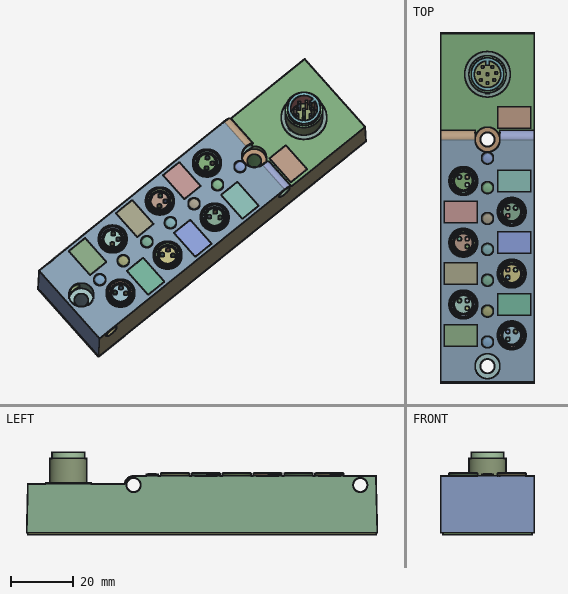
import cadquery as cq
import math

WIDTH = 30.0
LENGTH = 112.6
TOP_Z = 18.9
DECK_Z = 16.3
END_DRAFT = 0.5
BASE_HEIGHT = 0.7
BASE_INSET_X = 0.7
BASE_INSET_Y = 0.3

MOUNT_YS = (22.0, -50.8)
MOUNT_DIAMETER = 4.5
COUNTERBORE_DIAMETER = 8.0
COUNTERBORE_DEPTH = 5.6
CROSS_HOLE_Z = 16.0

STEP_Y = MOUNT_YS[0]
STEP_RADIUS = TOP_Z - CROSS_HOLE_Z

CONNECTOR_Y = 42.9
CONNECTOR_TOP_Z = 26.6
FLANGE_DIAMETER = 14.6
FLANGE_HEIGHT = 0.3
BARREL_DIAMETER = 11.9
COLLAR_DIAMETER = 10.6
COLLAR_HEIGHT = 2.0
CAVITY_DIAMETER = 8.4
CAVITY_DEPTH = 8.4
KEY_WIDTH = 1.0
KEY_REACH = 2.9
TAB_WIDTH = 1.1
TAB_REACH = 6.2
TAB_HEIGHT = 0.39
PIN_DIAMETER = 0.9
PIN_CIRCLE_RADIUS = 2.8
PIN_RING_COUNT = 7
PIN_RING_STEP = 49.0
PIN_SETBACK = 1.5

PITCH = 9.9
ROW_COUNT = 6
FIRST_SOCKET_Y = 8.7
SOCKET_X = 7.8
SOCKET_RADIUS = 4.6
SOCKET_HEIGHT = 1.0
SOCKET_CHAMFER = 0.3
SOCKET_MOUTH_RADIUS = 3.9
SOCKET_BORE_RADIUS = 3.4
SOCKET_FLARE = 0.5
GROOVE_DEPTH = 1.8
INSERT_RADIUS = 2.9
INSERT_SETBACK = 0.5
CONTACT_OFFSET = 1.2
CONTACT_DIAMETER = 1.4
CONTACT_DEPTH = 4.5

LABEL_X = 8.5
LABEL_SIZE_X = 10.6
LABEL_SIZE_Y = 6.9
LABEL_DEPTH = 0.06
DECK_LABEL_Y = 29.0

FIRST_LAMP_Y = 6.5
SUPPLY_LAMP_Y = 16.0
LAMP_DIAMETER = 3.8
LAMP_WALL_HEIGHT = 0.6
LAMP_DOME_DIAMETER = 3.2
LAMP_HEIGHT = 0.73


def cylinder(x, y, z, diameter, height):
    """Vertical cylinder standing on height z."""
    return cq.Workplane("XY", origin=(x, y, z)).circle(diameter / 2).extrude(height)


def block(x, y, z, size_x, size_y, height):
    """Rectangular block standing on height z, centred on (x, y)."""
    return cq.Workplane("XY", origin=(x, y, z)).rect(size_x, size_y).extrude(height)


def revolve_at(x, y, z, profile):
    """Turn a closed (radius, height) profile about the vertical axis through (x, y)."""
    return profile.close().revolve(360, (0, 0, 0), (0, 1, 0)).translate((x, y, z))


def make_housing():
    half_length = LENGTH / 2
    end_slope = END_DRAFT / (TOP_Z - BASE_HEIGHT)
    deck_end_y = half_length - end_slope * (DECK_Z - BASE_HEIGHT)
    step_foot_y = STEP_Y + math.sqrt(STEP_RADIUS**2 - (DECK_Z - CROSS_HOLE_Z) ** 2)
    diagonal = STEP_RADIUS * math.sqrt(0.5)
    body = (
        cq.Workplane("YZ", origin=(-WIDTH / 2, 0, 0))
        .moveTo(-half_length, BASE_HEIGHT)
        .lineTo(half_length, BASE_HEIGHT)
        .lineTo(deck_end_y, DECK_Z)
        .lineTo(step_foot_y, DECK_Z)
        .threePointArc((STEP_Y + diagonal, CROSS_HOLE_Z + diagonal), (STEP_Y, TOP_Z))
        .lineTo(-half_length + END_DRAFT, TOP_Z)
        .close()
        .extrude(WIDTH)
    )
    base = block(0, 0, 0, WIDTH - 2 * BASE_INSET_X, LENGTH - 2 * BASE_INSET_Y, BASE_HEIGHT)
    return body.union(base)


def cut_mounting_holes(body):
    for y in MOUNT_YS:
        body = body.cut(cylinder(0, y, 0, MOUNT_DIAMETER, TOP_Z))
        floor_z = TOP_Z - COUNTERBORE_DEPTH
        body = body.cut(cylinder(0, y, floor_z, COUNTERBORE_DIAMETER, COUNTERBORE_DEPTH))
        cross_hole = (
            cq.Workplane("YZ", origin=(-WIDTH / 2, y, CROSS_HOLE_Z))
            .circle(MOUNT_DIAMETER / 2)
            .extrude(WIDTH)
        )
        body = body.cut(cross_hole)
    opening = block(
        0, STEP_Y + STEP_RADIUS / 2, DECK_Z, COUNTERBORE_DIAMETER, STEP_RADIUS, TOP_Z - DECK_Z
    )
    return body.cut(opening)


def add_connector(body):
    shoulder_z = CONNECTOR_TOP_Z - COLLAR_HEIGHT
    cavity_floor_z = CONNECTOR_TOP_Z - CAVITY_DEPTH
    body = body.union(cylinder(0, CONNECTOR_Y, DECK_Z, FLANGE_DIAMETER, FLANGE_HEIGHT))
    body = body.union(cylinder(0, CONNECTOR_Y, DECK_Z, BARREL_DIAMETER, shoulder_z - DECK_Z))
    body = body.union(cylinder(0, CONNECTOR_Y, shoulder_z, COLLAR_DIAMETER, COLLAR_HEIGHT))
    tab = block(0, CONNECTOR_Y - TAB_REACH / 2, DECK_Z, TAB_WIDTH, TAB_REACH, TAB_HEIGHT)
    body = body.union(tab)

    wall_radius = COLLAR_DIAMETER / 2
    key_length = wall_radius - KEY_REACH
    key = block(
        0, CONNECTOR_Y + KEY_REACH + key_length / 2, cavity_floor_z, KEY_WIDTH, key_length, CAVITY_DEPTH
    )
    cavity = cylinder(0, CONNECTOR_Y, cavity_floor_z, CAVITY_DIAMETER, CAVITY_DEPTH)
    body = body.cut(cavity.cut(key))

    pin_spots = [(0, CONNECTOR_Y)]
    for i in range(PIN_RING_COUNT):
        angle = math.radians(-90 + (i - (PIN_RING_COUNT - 1) / 2) * PIN_RING_STEP)
        x = PIN_CIRCLE_RADIUS * math.cos(angle)
        y = CONNECTOR_Y + PIN_CIRCLE_RADIUS * math.sin(angle)
        pin_spots.append((x, y))
    for x, y in pin_spots:
        body = body.union(cylinder(x, y, cavity_floor_z, PIN_DIAMETER, CAVITY_DEPTH - PIN_SETBACK))
    return body


def add_socket(body, side, y):
    """Three-pole socket; side is -1 for the left column and +1 for the right one."""
    x = side * SOCKET_X
    rim_profile = (
        cq.Workplane("XZ")
        .lineTo(SOCKET_RADIUS, 0)
        .lineTo(SOCKET_RADIUS, SOCKET_HEIGHT - SOCKET_CHAMFER)
        .lineTo(SOCKET_RADIUS - SOCKET_CHAMFER, SOCKET_HEIGHT)
        .lineTo(0, SOCKET_HEIGHT)
    )
    recess_profile = (
        cq.Workplane("XZ")
        .moveTo(0, SOCKET_HEIGHT - INSERT_SETBACK)
        .lineTo(INSERT_RADIUS, SOCKET_HEIGHT - INSERT_SETBACK)
        .lineTo(INSERT_RADIUS, SOCKET_HEIGHT - GROOVE_DEPTH)
        .lineTo(SOCKET_BORE_RADIUS, SOCKET_HEIGHT - GROOVE_DEPTH)
        .lineTo(SOCKET_BORE_RADIUS, SOCKET_HEIGHT - SOCKET_FLARE)
        .lineTo(SOCKET_MOUTH_RADIUS, SOCKET_HEIGHT)
        .lineTo(0, SOCKET_HEIGHT)
    )
    body = body.union(revolve_at(x, y, TOP_Z, rim_profile))
    body = body.cut(revolve_at(x, y, TOP_Z, recess_profile))
    for x_sign, y_sign in ((-1, 1), (1, 1), (-side, -1)):
        contact = cylinder(
            x + x_sign * CONTACT_OFFSET,
            y + y_sign * CONTACT_OFFSET,
            TOP_Z + SOCKET_HEIGHT - CONTACT_DEPTH,
            CONTACT_DIAMETER,
            CONTACT_DEPTH,
        )
        body = body.cut(contact)
    return body


def cut_label(body, x, y, face_z):
    return body.cut(block(x, y, face_z - LABEL_DEPTH, LABEL_SIZE_X, LABEL_SIZE_Y, LABEL_DEPTH))


def add_lamp(body, y):
    """Low round lamp with a dome inside a flat rim."""
    rim_radius = LAMP_DIAMETER / 2
    radius = LAMP_DOME_DIAMETER / 2
    rise = LAMP_HEIGHT - LAMP_WALL_HEIGHT
    dome_radius = (radius**2 + rise**2) / (2 * rise)
    middle = radius / 2
    middle_z = LAMP_HEIGHT - dome_radius + math.sqrt(dome_radius**2 - middle**2)
    profile = (
        cq.Workplane("XZ")
        .lineTo(rim_radius, 0)
        .lineTo(rim_radius, LAMP_WALL_HEIGHT)
        .lineTo(radius, LAMP_WALL_HEIGHT)
        .threePointArc((middle, middle_z), (0, LAMP_HEIGHT))
    )
    return body.union(revolve_at(0, y, TOP_Z, profile))


result = make_housing()
result = cut_mounting_holes(result)
result = add_connector(result)
result = cut_label(result, LABEL_X, DECK_LABEL_Y, DECK_Z)
result = add_lamp(result, SUPPLY_LAMP_Y)
for row in range(ROW_COUNT):
    side = -1 if row % 2 == 0 else 1
    socket_y = FIRST_SOCKET_Y - row * PITCH
    result = add_socket(result, side, socket_y)
    result = cut_label(result, -side * LABEL_X, socket_y, TOP_Z)
    result = add_lamp(result, FIRST_LAMP_Y - row * PITCH)